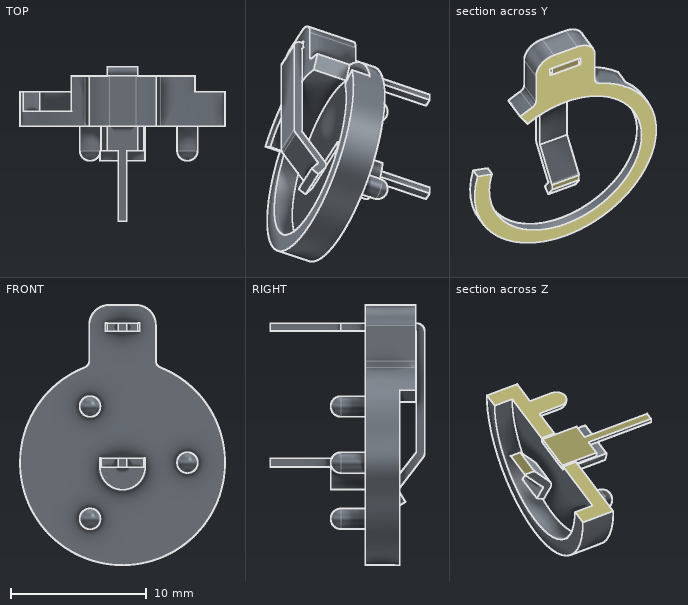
import cadquery as cq
import math


outer_radius = 7.55
cavity_radius = 6.3
floor_thickness = 1.1
low_wall_y = 2.55
high_wall_y = 3.72
high_wall_start, high_wall_end = 45, 135
notch_start, notch_end = 120, 165

total_height = 19.18
tab_top = total_height - outer_radius
tab_width = 4.93
tab_corner_radius = 1.5
tab_root_fillet = 0.5

peg_count = 3
peg_circle_radius = 4.78
peg_radius = 0.77
shoulder_y = -1.78

boss_radius = 1.67
boss_end_y = shoulder_y - peg_radius

metal_thickness = 0.65
pin_width = 0.65
pin_end_y = -7.0
lower_terminal_width = 3.15
lower_slot_width = 2 * boss_radius

clip_width = 2.26
clip_bend_radius = 0.63
clip_slot_width = 2.53
clip_leg_top = 10.28
clip_leg_thickness = 0.6
clip_leg_bottom = clip_leg_top - clip_leg_thickness
clip_back_y = 4.4
clip_bend_z = 0.54
clip_contact_y, clip_contact_z = 2.44, -2.01
clip_tip_y, clip_tip_z = 2.97, -2.9


def box(x_size, y_start, y_end, z_start, z_end):
    """Box centred on X = 0 between the given Y and Z limits."""
    size = (x_size, y_end - y_start, z_end - z_start)
    return cq.Workplane("XY").box(*size, centered=(True, False, False)).translate((0, y_start, z_start))


def disc(radius, y_start, y_end):
    """Cylinder on the Y axis."""
    return cq.Workplane("XZ", origin=(0, y_start, 0)).circle(radius).extrude(y_start - y_end)


def sector(start_angle, end_angle, y_start, y_end):
    """Wedge about the Y axis that reaches past the outer wall."""
    reach = 2 * outer_radius
    corners = [(0, 0)]
    for degrees in (start_angle, (start_angle + end_angle) / 2, end_angle):
        angle = math.radians(degrees)
        corners.append((reach * math.cos(angle), reach * math.sin(angle)))
    return cq.Workplane("XZ", origin=(0, y_start, 0)).polyline(corners).close().extrude(y_start - y_end)


def make_tab():
    """Rounded tab, with fillets where its sides meet the round wall."""
    tab = box(tab_width, 0, high_wall_y, 0, tab_top)
    return tab.edges("|Y and >Z").fillet(tab_corner_radius)


def make_shell():
    wall = disc(outer_radius, 0, high_wall_y).union(make_tab())
    root_z = math.sqrt(outer_radius**2 - (tab_width / 2) ** 2)
    half_window = 0.2
    root_window = cq.selectors.BoxSelector(
        (-tab_width, 0, root_z - half_window), (tab_width, high_wall_y, root_z + half_window)
    )
    wall = wall.edges("|Y").edges(root_window).fillet(tab_root_fillet)
    lowered = sector(high_wall_end, 270, low_wall_y, high_wall_y)
    lowered = lowered.union(sector(270, 360 + high_wall_start, low_wall_y, high_wall_y))
    notch = sector(notch_start, notch_end, floor_thickness, high_wall_y)
    return wall.cut(lowered).cut(notch).cut(disc(cavity_radius, floor_thickness, high_wall_y))


def make_peg(angle_degrees):
    """Round peg with a hemispherical end."""
    angle = math.radians(angle_degrees)
    peg = disc(peg_radius, shoulder_y, 0).union(
        cq.Workplane("XY").sphere(peg_radius).translate((0, shoulder_y, 0))
    )
    return peg.translate((peg_circle_radius * math.cos(angle), 0, peg_circle_radius * math.sin(angle)))


def make_boss():
    """Half cylinder whose flat side touches the underside of the lower terminal."""
    boss = disc(boss_radius, boss_end_y, 0)
    lower_half = box(2 * boss_radius, boss_end_y, 0, -boss_radius, 0)
    return boss.intersect(lower_half).translate((0, 0, -metal_thickness / 2))


def make_housing():
    housing = make_shell().union(make_boss())
    for index in range(peg_count):
        housing = housing.union(make_peg(index * 360 / peg_count))
    clip_slot = box(clip_slot_width, 0, high_wall_y, clip_leg_bottom, clip_leg_top)
    lower_slot = box(lower_slot_width, 0, floor_thickness, -metal_thickness / 2, metal_thickness / 2)
    return housing.cut(clip_slot).cut(lower_slot)


def make_terminal(width, y_end, z_start, z_end):
    """Flat terminal that narrows to a solder pin at the shoulder."""
    blade = box(width, shoulder_y, y_end, z_start, z_end)
    return blade.union(box(pin_width, pin_end_y, shoulder_y, z_start, z_end))


def make_lower_terminal():
    half_thickness = metal_thickness / 2
    return make_terminal(lower_terminal_width, floor_thickness, -half_thickness, half_thickness)


def strap_inner_face(outer_face):
    """Points of the outer face moved by the metal thickness, mitred at each corner."""
    normals = []
    for (y0, z0), (y1, z1) in zip(outer_face, outer_face[1:]):
        length = math.hypot(y1 - y0, z1 - z0)
        normals.append(((z1 - z0) / length, (y0 - y1) / length))
    befores = [normals[0]] + normals
    afters = normals + [normals[-1]]
    inner_face = []
    for (y, z), before, after in zip(outer_face, befores, afters):
        scale = metal_thickness / (1 + before[0] * after[0] + before[1] * after[1])
        inner_face.append((y + scale * (before[0] + after[0]), z + scale * (before[1] + after[1])))
    return inner_face


def make_spring_clip():
    """Leg through the tab, strap down its back, and a V-shaped contact in the cavity."""
    outer_face = [
        (clip_back_y, clip_leg_top),
        (clip_back_y, clip_bend_z),
        (clip_contact_y, clip_contact_z),
        (clip_tip_y, clip_tip_z),
    ]
    inner_face = strap_inner_face(outer_face)
    strap = (
        cq.Workplane("YZ", origin=(-clip_width / 2, 0, 0))
        .polyline(outer_face + inner_face[::-1])
        .close()
        .extrude(clip_width)
    )
    leg_end_y = clip_back_y - metal_thickness
    leg = make_terminal(clip_width, leg_end_y, clip_leg_bottom, clip_leg_top)
    clip = strap.union(leg)
    rounded_corners = [outer_face[0], outer_face[1], inner_face[2]]
    for y, z in rounded_corners:
        clip = clip.edges(cq.selectors.NearestToPointSelector((0, y, z))).fillet(clip_bend_radius)
    return clip


housing = make_housing()
lower_terminal = make_lower_terminal()
spring_clip = make_spring_clip()

result = cq.Compound.makeCompound([housing.val(), lower_terminal.val(), spring_clip.val()])